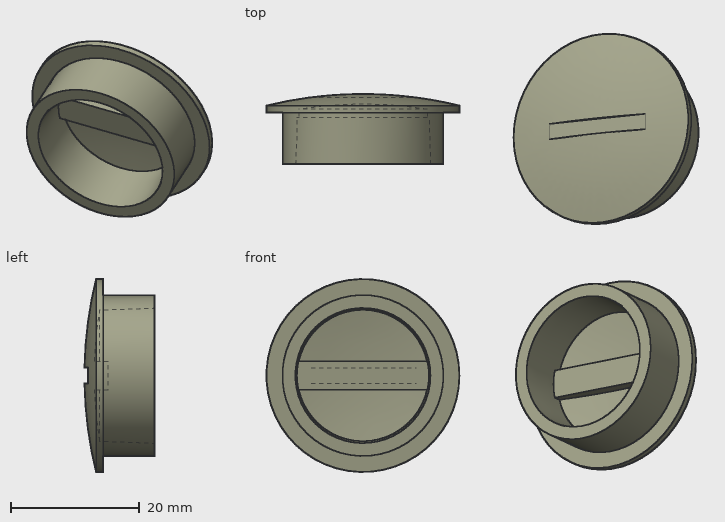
import cadquery as cq
import math

flange_radius = 15.0
flange_thickness = 1.1
dome_height = 1.83
barrel_radius = 12.5
barrel_length = 8.0
mouth_radius = 10.5
bore_draft = 2.0
dome_wall = 1.5
slot_width = 2.44
slot_floor_depth = 0.55
slot_side_wall = 1.0
slot_floor_wall = 3.1

rim_y = flange_thickness
apex_y = rim_y + dome_height
slot_floor_y = apex_y - slot_floor_depth
mouth_y = -barrel_length
backing_face_y = slot_floor_y - slot_floor_wall
backing_width = slot_width + 2 * slot_side_wall

dome_radius = (flange_radius**2 + dome_height**2) / (2 * dome_height)
dome_center_y = apex_y - dome_radius
inner_dome_radius = dome_radius - dome_wall


def revolve_about_y(profile):
    return profile.close().revolve(360, (0, 0, 0), (0, 1, 0))


def dome_point(sphere_radius, radius):
    """Point of a dome arc at the given distance from the axis."""
    return radius, dome_center_y + math.sqrt(sphere_radius**2 - radius**2)


def cap_body():
    profile = (
        cq.Workplane("XY")
        .moveTo(0, mouth_y)
        .lineTo(barrel_radius, mouth_y)
        .lineTo(barrel_radius, 0)
        .lineTo(flange_radius, 0)
        .lineTo(flange_radius, rim_y)
        .threePointArc(dome_point(dome_radius, flange_radius / 2), (0, apex_y))
    )
    return revolve_about_y(profile)


def bore():
    """Drafted cavity, closed by the inner face of the dome."""
    inner_apex_y = apex_y - dome_wall
    narrowing = (inner_apex_y - mouth_y) * math.tan(math.radians(bore_draft))
    cone = revolve_about_y(
        cq.Workplane("XY")
        .moveTo(0, mouth_y)
        .lineTo(mouth_radius, mouth_y)
        .lineTo(mouth_radius - narrowing, inner_apex_y)
        .lineTo(0, inner_apex_y)
    )
    inner_dome = cq.Workplane("XY").sphere(inner_dome_radius).translate((0, dome_center_y, 0))
    return cone.intersect(inner_dome)


def cross_bar(width, start_y, end_y):
    """Block along X over the full diameter, centred on the axis."""
    bar = cq.Workplane("XY").box(
        2 * flange_radius, end_y - start_y, width, centered=(True, False, True)
    )
    return bar.translate((0, start_y, 0))


slot_backing = cross_bar(backing_width, backing_face_y, apex_y)
coin_slot = cross_bar(slot_width, slot_floor_y, apex_y)

cavity = bore().cut(slot_backing)

result = cap_body().cut(cavity).cut(coin_slot)